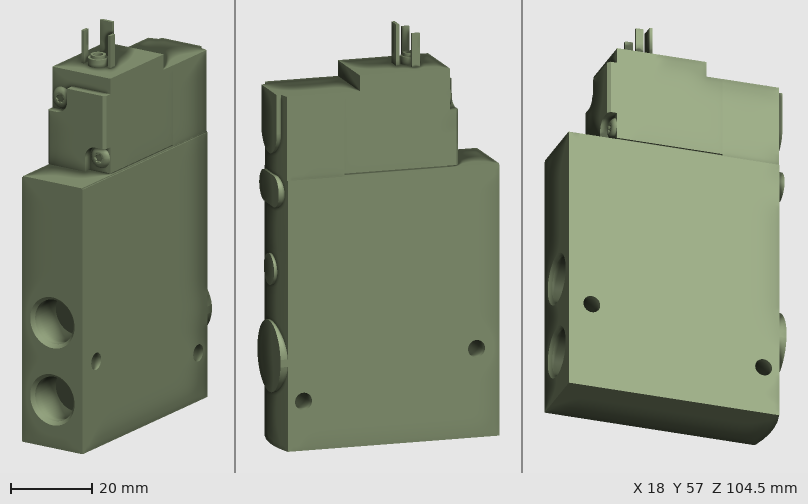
import cadquery as cq


width = 18.0
depth = 57.0
base_height = 50.0

rear_crown_y = 56.4
rear_edge_y = 55.1
rear_pad_depth = 4.0
port_pad_diameter = 18.1
port_pad_z = 22.5
round_pad_diameter = 8.0
round_pad_z = 44.5
wide_pad_z = 65.0
wide_pad_width = 15.2
tall_pad_width = 12.0
tall_pad_center_z = 80.0

port_diameter = 11.45
port_mouth_diameter = 13.2
port_depth = 10.0
port_heights = (12.5, 32.5)
mounting_hole_diameter = 4.4
mounting_holes = ((51.0, 12.5), (6.0, 22.5))

lip_height = 0.3
lip_width = 17.5
head_block_top = 69.0
rear_block_width = 17.4
coil_width = 17.3
coil_gap = 0.4
coil_foot_inset = 0.5
coil_rear_y = 40.3
shoulder_z = 90.0
coil_top_z = 94.0
coil_top_rear_y = 36.2
coil_front_y = 12.75

cover_front_y = 10.4
cover_chamfer = 0.7
cover_middle_z = 79.8
screw_offset_x = 5.75
screw_offset_z = 6.7
screw_notch_radius = 3.1
screw_head_diameter = 5.6
screw_flat_diameter = 3.0
screw_head_height = 0.95
screw_dome_radius = 1.6
socket_diameter = 2.0
socket_tip_diameter = 2.5
socket_lobe_diameter = 0.6
socket_lobes = 6
socket_depth = 0.6

connector_y = 20.2
collar_diameter = 5.0
collar_height = 2.0
nozzle_diameter = 3.8
nozzle_height = 2.8
nozzle_bore_diameter = 2.5
nozzle_bore_depth = 2.5
blade_thickness = 0.8
contact_x = 3.95
contact_width = 2.0
contact_top_z = 102.5
ground_width = 3.6
ground_y = 24.1
ground_top_z = 104.5


def block(size_x, y_front, y_rear, z_bottom, z_top):
    """Box centred on X = 0."""
    box = cq.Workplane("XY").box(size_x, y_rear - y_front, z_top - z_bottom, centered=(True, False, False))
    return box.translate((0, y_front, z_bottom))


def rear_wall_envelope(z_bottom, z_top):
    """Full-width column whose rear side is a shallow convex arc."""
    half = width / 2
    return (
        cq.Workplane("XY")
        .workplane(offset=z_bottom)
        .moveTo(-half, 0)
        .lineTo(half, 0)
        .lineTo(half, rear_edge_y)
        .threePointArc((0, rear_crown_y), (-half, rear_edge_y))
        .close()
        .extrude(z_top - z_bottom)
    )


def rear_plane(z):
    """Plane at the pads' inner ends; extruding by a negative distance goes to the rear."""
    return cq.Workplane("XZ", origin=(0, depth - rear_pad_depth, z))


def make_base():
    base = rear_wall_envelope(0, base_height)

    port_pad = rear_plane(port_pad_z).circle(port_pad_diameter / 2).extrude(-rear_pad_depth)
    base = base.union(port_pad.intersect(block(width, 0, depth, 0, base_height)))
    base = base.union(rear_plane(round_pad_z).circle(round_pad_diameter / 2).extrude(-rear_pad_depth))

    mouth_depth = (port_mouth_diameter - port_diameter) / 2
    for z in port_heights:
        port = (
            cq.Workplane("XY")
            .polyline([
                (0, 0),
                (port_mouth_diameter / 2, 0),
                (port_diameter / 2, mouth_depth),
                (port_diameter / 2, port_depth),
                (0, port_depth),
            ])
            .close()
            .revolve(360, (0, 0), (0, 1))
            .translate((0, 0, z))
        )
        base = base.cut(port)

    holes = (
        cq.Workplane("YZ")
        .pushPoints(mounting_holes)
        .circle(mounting_hole_diameter / 2)
        .extrude(width / 2, both=True)
    )
    return base.cut(holes)


def make_cover():
    """Chamfered front cover with a notch around each of its two screws."""
    cover = block(coil_width, cover_front_y, coil_front_y, head_block_top + coil_gap, shoulder_z)
    cover = cover.faces("<Y").edges("|Z").chamfer(cover_chamfer)

    notch_reach = coil_width
    thickness = coil_front_y - cover_front_y
    notch = (
        cq.Workplane("XZ", origin=(-screw_offset_x, coil_front_y, cover_middle_z + screw_offset_z))
        .moveTo(-notch_reach, -screw_notch_radius)
        .lineTo(0, -screw_notch_radius)
        .radiusArc((screw_notch_radius, 0), -screw_notch_radius)
        .lineTo(screw_notch_radius, notch_reach)
        .lineTo(-notch_reach, notch_reach)
        .close()
        .extrude(thickness)
    )
    axis_start = (0, 0, cover_middle_z)
    axis_end = (0, 1, cover_middle_z)
    return cover.cut(notch).cut(notch.rotate(axis_start, axis_end, 180))


def make_screw_head():
    """Raised screw head on the Y = 0 plane, facing -Y, with a six-lobed socket."""
    head_radius = screw_head_diameter / 2
    flat_radius = screw_flat_diameter / 2
    head = (
        cq.Workplane("XY")
        .lineTo(head_radius, 0)
        .radiusArc((flat_radius, -screw_head_height), screw_dome_radius)
        .lineTo(0, -screw_head_height)
        .close()
        .revolve(360, (0, 0), (0, 1))
    )
    outer_face = cq.Workplane("XZ", origin=(0, -screw_head_height, 0))
    socket = outer_face.circle(socket_diameter / 2).extrude(-socket_depth)
    lobe_radius = (socket_tip_diameter - socket_lobe_diameter) / 2
    lobes = (
        outer_face.polarArray(lobe_radius, 0, 360, socket_lobes)
        .circle(socket_lobe_diameter / 2)
        .extrude(-socket_depth)
    )
    return head.cut(socket).cut(lobes)


def make_connector():
    """Nozzle with two contact blades beside it and a taller ground blade behind it."""
    top = cq.Workplane("XY", origin=(0, connector_y, coil_top_z))
    connector = top.circle(collar_diameter / 2).extrude(collar_height)
    connector = connector.union(top.circle(nozzle_diameter / 2).extrude(nozzle_height))

    tip = cq.Workplane("XY", origin=(0, connector_y, coil_top_z + nozzle_height))
    connector = connector.cut(tip.circle(nozzle_bore_diameter / 2).extrude(-nozzle_bore_depth))

    contact = block(
        blade_thickness,
        connector_y - contact_width / 2,
        connector_y + contact_width / 2,
        coil_top_z,
        contact_top_z,
    )
    for side in (-1, 1):
        connector = connector.union(contact.translate((side * contact_x, 0, 0)))
    ground = block(
        ground_width,
        ground_y - blade_thickness / 2,
        ground_y + blade_thickness / 2,
        coil_top_z,
        ground_top_z,
    )
    return connector.union(ground)


def make_rear_pads():
    """Wide round-ended pad, and a tall pad with a round lower end that reaches the shoulder."""
    wide_pad = rear_plane(wide_pad_z).slot2D(wide_pad_width, round_pad_diameter).extrude(-rear_pad_depth)
    tall_pad = rear_plane(tall_pad_center_z).circle(tall_pad_width / 2).extrude(-rear_pad_depth)
    straight = block(tall_pad_width, depth - rear_pad_depth, depth, tall_pad_center_z, shoulder_z)
    return wide_pad.union(tall_pad).union(straight)


def make_head():
    head = rear_wall_envelope(base_height, head_block_top - lip_height)
    lip_top = rear_wall_envelope(head_block_top - lip_height, head_block_top)
    head = head.union(lip_top.intersect(block(lip_width, 0, depth, base_height, shoulder_z)))
    rear_block = rear_wall_envelope(head_block_top, shoulder_z)
    head = head.union(
        rear_block.intersect(block(rear_block_width, coil_rear_y, depth, head_block_top, shoulder_z))
    )

    coil_bottom = head_block_top + coil_gap
    foot_width = coil_width - 2 * coil_foot_inset
    foot_front_y = coil_front_y + coil_foot_inset
    head = head.union(block(foot_width, foot_front_y, coil_rear_y, head_block_top, coil_bottom))
    head = head.union(block(coil_width, coil_front_y, coil_rear_y, coil_bottom, shoulder_z))
    head = head.union(block(coil_width, coil_front_y, coil_top_rear_y, shoulder_z, coil_top_z))
    head = head.union(make_rear_pads())
    head = head.union(make_cover())
    for side in (-1, 1):
        place = (side * screw_offset_x, coil_front_y, cover_middle_z - side * screw_offset_z)
        head = head.union(make_screw_head().translate(place))
    return head.union(make_connector())


base = make_base()
head = make_head()
result = cq.Compound.makeCompound([base.solids().val(), head.solids().val()])